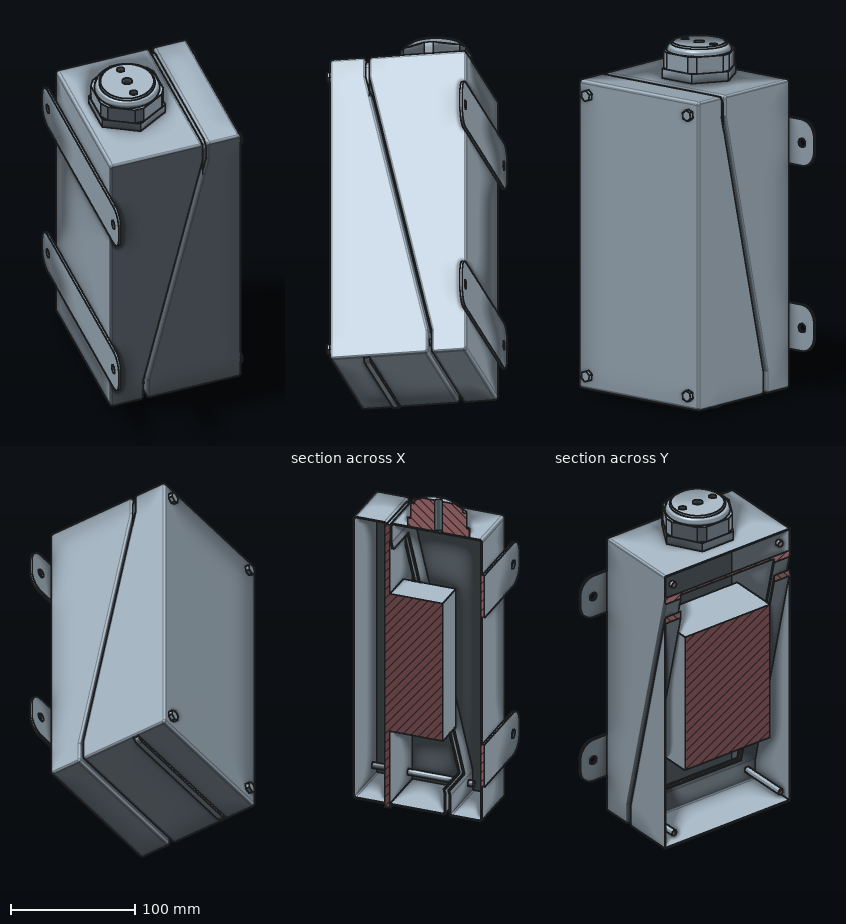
import cadquery as cq
import math


OVERALL_HEIGHT = 286.0

BOX_WIDTH = 127.2
BOX_DEPTH = 112.5
BOX_HEIGHT = 255.0
WALL = 1.5
BEND_RADIUS = 2.5
SIDE_EDGE_RADIUS = 1.7
JOINT_GAP = 3.0
COVER_TOP_Y = 83.0
COVER_BOTTOM_Y = 31.7
COVER_BEND_TOP_Z = 238.5
COVER_BEND_BOTTOM_Z = 19.5
BEND_SHIFT = 0.5
MOUTH_WIDTH = 94.4
MOUTH_BOTTOM_Z = 23.0
MOUTH_TOP_Z = 231.5

STRAP_LENGTH = 177.8
STRAP_HEIGHT = 38.3
STRAP_THICKNESS = 2.0
STRAP_CORNER_RADIUS = 13.0
STRAP_HOLE_DIAMETER = 7.1
STRAP_HOLE_SPACING = 152.7
STRAP_CENTRE_HEIGHTS = (51.2, 204.2)

PLATE_WIDTH = 124.0
PLATE_THICKNESS = 5.0
PLATE_TOP_Z = 253.3
PLATE_BOTTOM_Z = -3.0
PLATE_CORNER_RADIUS = 6.5
PLATE_FRONT_Y = COVER_TOP_Y - JOINT_GAP
BLOCK_WIDTH = 85.8
BLOCK_BOTTOM_Z = 66.3
BLOCK_TOP_Z = 191.0
BLOCK_END_Y = 34.3

SHANK_DIAMETER = 5.1
HEAD_CORNER_DIAMETER = 9.1
HEAD_HEIGHT = 3.5
QUARTER_TURN = 90.0
HEAD_TURN = 8.0
SCREW_X = 53.8
SCREW_END_OFFSET = 11.7
SCREW_GRIP = 5.7

GLAND_Y = 38.0
COLLAR_FLATS = 54.0
NUT_FLATS = 53.8
NUT_CUT_CORNERS = 57.8
COLLAR_HEIGHT = 7.7
HALF_HEXAGON_STEP = 30.0
NUT_TOP = 21.5
GLAND_HEIGHT = OVERALL_HEIGHT + PLATE_BOTTOM_Z - BOX_HEIGHT
DOME_BASE_RADIUS = 26.3
DOME_SHOULDER_RADIUS = 22.5
DOME_SHOULDER_HEIGHT = 26.5
DOME_TOP_RADIUS = 21.5
DOME_BULGE = 1.1
GLAND_CENTRE_HOLE = 8.0
GLAND_SIDE_HOLE = 6.0
GLAND_SIDE_HOLE_X = 15.2


def box_between(x_size, y_range, z_range):
    """Box centred on X = 0 between two Y and two Z positions."""
    y_low, y_high = y_range
    z_low, z_high = z_range
    return cq.Workplane("XY").box(x_size, y_high - y_low, z_high - z_low).translate(
        (0, (y_low + y_high) / 2, (z_low + z_high) / 2)
    )


def side_prism(points, width):
    """Side outline in Y and Z, extruded to a width centred on X = 0."""
    return cq.Workplane("YZ").polyline(points).close().extrude(width / 2, both=True)


def half_shell(points):
    """Folded-sheet half of the enclosure with rounded edges, still closed at the joint."""
    outer = side_prism(points, BOX_WIDTH).edges("|X").fillet(BEND_RADIUS)
    outer = outer.faces("<X or >X").edges().fillet(SIDE_EDGE_RADIUS)
    outline = cq.Workplane("YZ").polyline(points).close().offset2D(-WALL)
    cavity = outline.extrude(BOX_WIDTH / 2 - WALL, both=True)
    cavity = cavity.edges("|X").fillet(BEND_RADIUS - WALL)
    return outer.cut(cavity)


def screw_places():
    """X, Z and tip Y of each screw; the tip reaches just past the base's joint face."""
    base_top_y = COVER_TOP_Y - JOINT_GAP
    base_bottom_y = COVER_BOTTOM_Y - JOINT_GAP
    rows = (
        (SCREW_END_OFFSET, base_bottom_y - SCREW_GRIP),
        (BOX_HEIGHT - SCREW_END_OFFSET, base_top_y - SCREW_GRIP),
    )
    return [(x, z, tip_y) for z, tip_y in rows for x in (-SCREW_X, SCREW_X)]


def shank(x, z, tip_y):
    """Round screw shank from its tip to the outside of the cover."""
    length = BOX_DEPTH - tip_y
    return cq.Workplane("XZ", origin=(x, tip_y, z)).circle(SHANK_DIAMETER / 2).extrude(-length)


def make_screw(x, z, tip_y):
    turn = math.copysign(HEAD_TURN, -x)
    head = (
        cq.Workplane("XZ")
        .polygon(6, HEAD_CORNER_DIAMETER)
        .extrude(-HEAD_HEIGHT)
        .rotate((0, 0, 0), (0, 1, 0), QUARTER_TURN + turn)
        .translate((x, BOX_DEPTH, z))
    )
    return shank(x, z, tip_y).union(head)


def drill_for_screws(body):
    """Clear the path of every screw shank through a body."""
    for x, z, tip_y in screw_places():
        body = body.cut(shank(x, z, tip_y))
    return body


def make_strap(centre_z):
    strap = box_between(
        STRAP_LENGTH,
        (-STRAP_THICKNESS, 0),
        (centre_z - STRAP_HEIGHT / 2, centre_z + STRAP_HEIGHT / 2),
    )
    strap = strap.edges("|Y").fillet(STRAP_CORNER_RADIUS)
    holes = (
        cq.Workplane("XZ", origin=(0, 0, centre_z))
        .rarray(STRAP_HOLE_SPACING, 3, 2, 1)
        .circle(STRAP_HOLE_DIAMETER / 2)
        .extrude(STRAP_THICKNESS)
    )
    return strap.cut(holes)


def make_base():
    base = half_shell([
        (0, 0),
        (COVER_BOTTOM_Y - JOINT_GAP, 0),
        (COVER_BOTTOM_Y - JOINT_GAP, COVER_BEND_BOTTOM_Z - BEND_SHIFT),
        (COVER_TOP_Y - JOINT_GAP, COVER_BEND_TOP_Z - BEND_SHIFT),
        (COVER_TOP_Y - JOINT_GAP, BOX_HEIGHT),
        (0, BOX_HEIGHT),
    ])
    mouth = box_between(MOUTH_WIDTH, (BEND_RADIUS, BOX_DEPTH), (MOUTH_BOTTOM_Z, MOUTH_TOP_Z))
    base = drill_for_screws(base.cut(mouth))
    for centre_z in STRAP_CENTRE_HEIGHTS:
        base = base.union(make_strap(centre_z))
    return base


def make_plate():
    plate = box_between(
        PLATE_WIDTH,
        (PLATE_FRONT_Y, PLATE_FRONT_Y + PLATE_THICKNESS),
        (PLATE_BOTTOM_Z, PLATE_TOP_Z),
    )
    return plate.edges("|Y").fillet(PLATE_CORNER_RADIUS)


def make_cover():
    cover = half_shell([
        (BOX_DEPTH, 0),
        (COVER_BOTTOM_Y, 0),
        (COVER_BOTTOM_Y, COVER_BEND_BOTTOM_Z),
        (COVER_TOP_Y, COVER_BEND_TOP_Z),
        (COVER_TOP_Y, BOX_HEIGHT),
        (BOX_DEPTH, BOX_HEIGHT),
    ])
    mouth = box_between(MOUTH_WIDTH, (0, BOX_DEPTH - BEND_RADIUS), (MOUTH_BOTTOM_Z, MOUTH_TOP_Z))
    return drill_for_screws(cover.cut(mouth).cut(make_plate()))


def make_insert():
    block = box_between(BLOCK_WIDTH, (BLOCK_END_Y, PLATE_FRONT_Y), (BLOCK_BOTTOM_Z, BLOCK_TOP_Z))
    return drill_for_screws(make_plate().union(block))


def hexagon(flats, height):
    """Hexagonal prism with two corners on the X axis."""
    return cq.Workplane("XY").polygon(6, flats / math.cos(math.radians(HALF_HEXAGON_STEP))).extrude(height)


def make_gland():
    collar = hexagon(COLLAR_FLATS, COLLAR_HEIGHT)
    corner_cutter = hexagon(NUT_CUT_CORNERS, NUT_TOP).rotate((0, 0, 0), (0, 0, 1), HALF_HEXAGON_STEP)
    nut = hexagon(NUT_FLATS, NUT_TOP).intersect(corner_cutter)
    dome = (
        cq.Workplane("XZ")
        .lineTo(DOME_BASE_RADIUS, 0)
        .lineTo(DOME_BASE_RADIUS, NUT_TOP)
        .sagittaArc((DOME_SHOULDER_RADIUS, DOME_SHOULDER_HEIGHT), -DOME_BULGE)
        .lineTo(DOME_TOP_RADIUS, GLAND_HEIGHT)
        .lineTo(0, GLAND_HEIGHT)
        .close()
        .revolve(360, (0, 0), (0, 1))
    )
    gland = collar.union(nut).union(dome)
    centre_hole = cq.Workplane("XY").circle(GLAND_CENTRE_HOLE / 2).extrude(GLAND_HEIGHT)
    side_holes = (
        cq.Workplane("XY")
        .rarray(2 * GLAND_SIDE_HOLE_X, 3, 2, 1)
        .circle(GLAND_SIDE_HOLE / 2)
        .extrude(GLAND_HEIGHT)
    )
    return gland.cut(centre_hole).cut(side_holes).translate((0, GLAND_Y, BOX_HEIGHT))


base = make_base()
cover = make_cover()
insert = make_insert()
gland = make_gland()
screws = [make_screw(*place) for place in screw_places()]

result = cq.Compound.makeCompound(
    [base.val(), cover.val(), insert.val(), gland.val()] + [screw.val() for screw in screws]
)